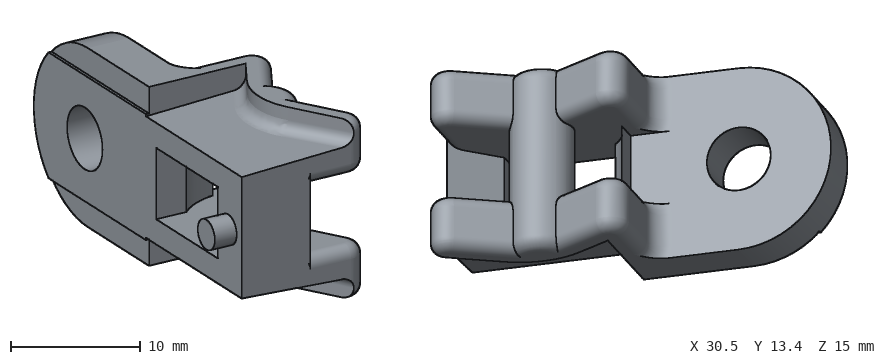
import cadquery as cq
import math

length = 30.5
width = 15.0
half_width = width / 2
saddle_height = 11.4

tab_thickness = 4.03
tab_hole_diameter = 5.2
relief_depth = 0.27
relief_start_z = 5.28

flange_inner_z = 3.0
flange_thickness = half_width - flange_inner_z
saddle_width = 16.05
saddle_start_x = length - saddle_width
saddle_center_x = length - saddle_width / 2
corner_radius = 1.5
rim_radius = 1.0
foot_radius = 1.5
vee_angle = math.radians(30)
vee_slope = math.tan(vee_angle)
vee_rise = saddle_width / 2 * vee_slope
vee_bottom_y = (
    saddle_height - corner_radius + corner_radius / math.cos(vee_angle)
    - (saddle_width / 2 - corner_radius) * vee_slope
)

core_half_width = flange_inner_z + rim_radius
bar_radius = 2.53
bar_center_y = 7.05
groove_radius = 6.25
groove_wall_x = 16.3
groove_exit_angle = math.radians(45)
window_start_x = 17.95
window_end_x = 27.0

neck_start_x = 16.47
neck_half_width = 5.1
neck_draft = math.radians(2.7)
neck_fillet = 1.0
flange_front_radius = 6.0
flange_front_y = 6.5

pin_diameter = 2.5
pin_length = 1.98
pin_x = 28.52

overcut = 3.05


def box(x0, x1, y0, y1, z0, z1):
    return cq.Workplane("XY").box(x1 - x0, y1 - y0, z1 - z0, centered=False).translate((x0, y0, z0))


def y_cylinder(x, radius, y0, y1):
    return cq.Workplane("XZ", origin=(x, y0, 0)).circle(radius).extrude(y0 - y1)


def both_sides(solid):
    """Pair a shape on the +Z side with its mirror image."""
    return solid.union(solid.mirror("XY"))


def make_tab():
    """Flat plate with a half-round end."""
    tab = box(half_width, neck_start_x, 0, tab_thickness, -half_width, half_width)
    return tab.union(y_cylinder(half_width, half_width, 0, tab_thickness))


def make_flange():
    """V-topped plate with a bump over the tie bar and rounded rims on both faces."""
    peak_y = vee_bottom_y + vee_rise
    plate = (
        cq.Workplane("XY", origin=(0, 0, flange_inner_z))
        .moveTo(saddle_start_x, 0)
        .lineTo(saddle_start_x, peak_y)
        .lineTo(saddle_center_x, vee_bottom_y)
        .lineTo(length, peak_y)
        .lineTo(length, 0)
        .close()
        .extrude(flange_thickness)
    )
    plate = plate.edges("|Z and >Y").fillet(corner_radius)
    bump = (
        cq.Workplane("XY", origin=(saddle_center_x, bar_center_y, flange_inner_z))
        .circle(bar_radius)
        .extrude(flange_thickness)
    )
    plate = plate.union(bump)
    return plate.faces("<Z or >Z").edges("not <Y").fillet(rim_radius)


def make_foot():
    """Concave fillet from the tab back up the flange wall, swept round its rounded corners."""
    corner_x = saddle_start_x + rim_radius
    outer_corner_z = half_width - rim_radius
    inner_corner_z = flange_inner_z + rim_radius

    def profile(corner_z):
        return (
            cq.Workplane("XY", origin=(corner_x, tab_thickness, corner_z))
            .moveTo(-rim_radius - foot_radius, 0)
            .radiusArc((-rim_radius, foot_radius), -foot_radius)
            .lineTo(0, foot_radius)
            .lineTo(0, 0)
            .close()
        )

    foot = profile(inner_corner_z).extrude(outer_corner_z - inner_corner_z)
    for corner_z in (inner_corner_z, outer_corner_z):
        foot = foot.union(profile(corner_z).revolve(360, (0, 0), (0, 1)))
    limits = box(0, corner_x, 0, saddle_height, flange_inner_z, half_width)
    return foot.intersect(limits)


def make_front_cutter():
    """Space beside the drafted neck, closed at the back by the front surface of a flange."""
    arc_half_width = flange_front_radius * math.sin(vee_angle)
    arc_end_y = flange_front_y + flange_front_radius * (1 - math.cos(vee_angle))
    end_x = length + overcut
    start_y = arc_end_y + (saddle_center_x - arc_half_width - neck_start_x) * vee_slope
    end_y = arc_end_y + (end_x - saddle_center_x - arc_half_width) * vee_slope
    space = (
        cq.Workplane("XY")
        .moveTo(neck_start_x, -overcut)
        .lineTo(neck_start_x, start_y)
        .lineTo(saddle_center_x - arc_half_width, arc_end_y)
        .threePointArc((saddle_center_x, flange_front_y), (saddle_center_x + arc_half_width, arc_end_y))
        .lineTo(end_x, end_y)
        .lineTo(end_x, -overcut)
        .close()
        .extrude(half_width + overcut)
    )
    draft_slope = math.tan(neck_draft)
    back_y = saddle_height + overcut
    neck = (
        cq.Workplane("YZ", origin=(neck_start_x, 0, 0))
        .polyline([
            (-overcut, 0),
            (-overcut, neck_half_width - overcut * draft_slope),
            (back_y, neck_half_width + back_y * draft_slope),
            (back_y, 0),
        ])
        .close()
        .extrude(end_x - neck_start_x)
    )
    space = space.cut(neck)
    root_edges = cq.selectors.BoxSelector(
        (neck_start_x, tab_thickness + foot_radius, neck_half_width),
        (end_x, back_y, neck_half_width + neck_fillet),
    )
    return space.edges(root_edges).fillet(neck_fillet)


def make_core():
    """Block between the flanges, hollowed by a round tie groove that leaves along its tangent."""
    exit_x = saddle_center_x + groove_radius * math.sin(groove_exit_angle)
    exit_y = bar_center_y - groove_radius * math.cos(groove_exit_angle)
    end_y = exit_y + (length - exit_x) * math.tan(groove_exit_angle)
    wall_top_y = bar_center_y - math.sqrt(groove_radius**2 - (saddle_center_x - groove_wall_x) ** 2)
    return (
        cq.Workplane("XY", origin=(0, 0, -core_half_width))
        .moveTo(groove_wall_x, 0)
        .lineTo(groove_wall_x, wall_top_y)
        .threePointArc((saddle_center_x, bar_center_y - groove_radius), (exit_x, exit_y))
        .lineTo(length, end_y)
        .lineTo(length, 0)
        .close()
        .extrude(2 * core_half_width)
    )


def make_bar():
    """Round bar that the tie wraps around, joined to both flanges."""
    return (
        cq.Workplane("XY", origin=(saddle_center_x, bar_center_y, -core_half_width))
        .circle(bar_radius)
        .extrude(2 * core_half_width)
    )


front_cutter = make_front_cutter()
flange = make_flange().cut(front_cutter).union(make_foot())
window = box(window_start_x, window_end_x, -overcut, bar_center_y, -flange_inner_z, flange_inner_z)
side_relief = box(0, neck_start_x, -overcut, relief_depth, relief_start_z, half_width)
tab_hole = y_cylinder(half_width, tab_hole_diameter / 2, -overcut, tab_thickness + overcut)

result = make_core().cut(both_sides(front_cutter)).cut(window)
result = result.union(make_tab()).union(both_sides(flange)).union(make_bar())
result = result.cut(tab_hole).cut(both_sides(side_relief))
result = result.union(y_cylinder(pin_x, pin_diameter / 2, -pin_length, 0))